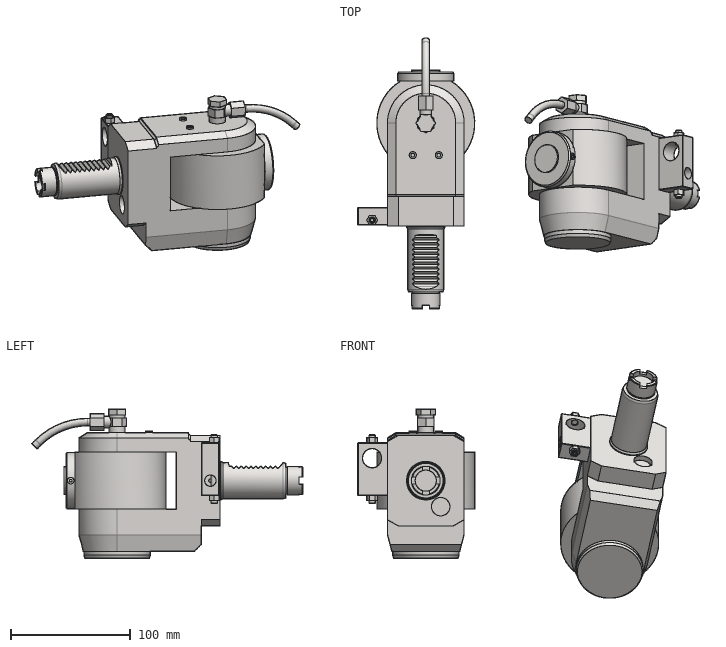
import cadquery as cq
import math


OVERALL_LENGTH = 226.7

HOUSING_WIDTH = 64.1
HOUSING_TOP = 40.1
HOUSING_BOTTOM = -59.2
HOUSING_FRONT = 15.6
TOP_PLATE_FRONT = 26.5
STEP_DROP = 1.0
TURRET_Y = 86.1
TOP_BEVEL_HEIGHT = 4.3
TOP_BEVEL_INSET = 7.0
BOTTOM_TAPER_HEIGHT = 13.8
BOTTOM_TAPER_INSET = 3.6
BOTTOM_FRONT_CHAMFER = 6.0
SLOT_BACK = 36.7

BLOCK_HEIGHT = 75.7
BLOCK_DEPTH = 24.7
BLOCK_BEVEL_WIDTH = 9.0
BLOCK_BEVEL_HEIGHT = 5.2
RECESS_X = 12.5
RECESS_Z = -21.8
RECESS_RADIUS = 7.7
RECESS_DEPTH = 4.5

DRUM_RADIUS = 41.0
DRUM_HEIGHT = 47.5
DRUM_FLAT_Y = 121.3
FLANGE_RADIUS = 23.5
FLANGE_THICKNESS = 7.7
FLANGE_CHAMFER = 1.1
FLANGE_HUB_RADIUS = 11.8
FLANGE_HUB_HEIGHT = 1.5
FLANGE_HOLE_RADIUS = 2.7
FLANGE_HOLE_DEPTH = 2.3
FLANGE_HOLE_INSET = 4.0
FLANGE_PIN_RADIUS = 1.1

RING_RADIUS = 27.9
RING_BOTTOM = -65.0
RING_CHAMFER = 1.0
RING_CHAMFER_HEIGHT = 2.7

SHANK_RADIUS = 15.2
SHANK_END = 55.0
SHANK_CHAMFER = 0.7
SHANK_CHAMFER_LENGTH = 2.3
COLLAR_RADIUS = 16.0
COLLAR_LENGTH = 0.7
COLLAR_CONE_END = 2.5
NECK_RADIUS = 11.3
NECK_LENGTH = 1.1
CROWN_RADIUS = 12.0
CROWN_BORE_RADIUS = 8.8
CROWN_BORE_DEPTH = 5.0
CROWN_CHAMFER = 0.5
CROWN_END = 69.1
CROWN_SLOT_WIDTH = 6.0
CROWN_SLOT_DEPTH = 3.0

SERRATION_TOP = 12.2
SERRATION_ROOT = 10.2
SERRATION_PITCH = 4.0
SERRATION_COUNT = 10
SERRATION_START = 6.8
SERRATION_WALL_SLOPE = 1.0
FIRST_ROOT = 11.5
RAMP_LENGTH = 4.5

BRACKET_END_X = -57.0
BRACKET_TOP = 31.7
BRACKET_BOTTOM = -12.5
BRACKET_FRONT = 1.0
BRACKET_BACK = 15.6
BRACKET_CHAMFER = 0.5
CLAMP_HOLE_RADIUS = 8.0
CLAMP_HOLE_Z = 18.8
SIDE_HOLE_RADIUS = 4.8
SIDE_HOLE_Y = 8.2
SIDE_HOLE_DEPTH = 18.1
PILOT_RADIUS = 1.4
PILOT_DEPTH = 4.5
STUD_X = -44.9
STUD_Y = 5.0
STUD_RADIUS = 2.7
STUD_OVERHANG = 6.8
STUD_RECESS = 1.4
STUD_SOCKET_RADIUS = 1.4
STUD_SOCKET_DEPTH = 1.4
STUD_CHAMFER = 0.7
NUT_CORNERS = 9.0
NUT_HEIGHT = 4.3

STEM_RADIUS = 6.8
FITTING_TOP = 59.8
CAP_CORNERS = 16.3
CAP_HEIGHT = 4.8
BODY_HEX_CORNERS = 16.0
BODY_HEX_HEIGHT = 7.3
OUTLET_Z = 49.0
OUTLET_RADIUS = 5.0
TUBE_NUT_CORNERS = 14.0
TUBE_NUT_START = 97.0
TUBE_NUT_LENGTH = 11.8
TUBE_RADIUS = 3.2
TUBE_BEND_RADIUS = 58.3
TUBE_BEND_ANGLE = 45.0
TUBE_TIP_LENGTH = 4.5

SCREW_X = 10.9
SCREW_Y = 59.5
SCREW_RADIUS = 3.0
SCREW_HEIGHT = 1.4
SCREW_SOCKET_RADIUS = 1.5

HALF_WIDTH = HOUSING_WIDTH / 2
HEX_SIDES = 6
HEX_HALF_STEP = 180 / HEX_SIDES


def along_y(x, z, radius, y_from, y_to):
    """Cylinder parallel to Y between two Y positions."""
    return cq.Workplane("XZ", origin=(x, y_from, z)).circle(radius).extrude(y_from - y_to)


def along_z(x, y, radius, z_from, z_to):
    """Cylinder parallel to Z between two Z positions."""
    return cq.Workplane("XY", origin=(x, y, z_from)).circle(radius).extrude(z_to - z_from)


def along_x(y, z, radius, x_from, x_to):
    """Cylinder parallel to X between two X positions."""
    return cq.Workplane("YZ", origin=(x_from, y, z)).circle(radius).extrude(x_to - x_from)


def box(x_range, y_range, z_range):
    """Axis-aligned box between two positions on each axis."""
    sizes = [high - low for low, high in (x_range, y_range, z_range)]
    corner = (x_range[0], y_range[0], z_range[0])
    return cq.Workplane("XY", origin=corner).box(*sizes, centered=False)


def arch(z):
    """Outline at height z with a straight front at Y = 0 and a half-round back."""
    return (
        cq.Workplane("XY", origin=(0, 0, z))
        .moveTo(-HALF_WIDTH, 0)
        .lineTo(HALF_WIDTH, 0)
        .lineTo(HALF_WIDTH, TURRET_Y)
        .threePointArc((0, TURRET_Y + HALF_WIDTH), (-HALF_WIDTH, TURRET_Y))
        .close()
    )


def make_housing():
    bevel_z = HOUSING_TOP - TOP_BEVEL_HEIGHT
    taper_z = HOUSING_BOTTOM + BOTTOM_TAPER_HEIGHT
    bevel_angle = math.degrees(math.atan2(TOP_BEVEL_INSET, TOP_BEVEL_HEIGHT))
    taper_angle = math.degrees(math.atan2(BOTTOM_TAPER_INSET, BOTTOM_TAPER_HEIGHT))

    housing = arch(taper_z).extrude(bevel_z - taper_z)
    housing = housing.union(arch(bevel_z).extrude(TOP_BEVEL_HEIGHT, taper=bevel_angle))
    housing = housing.union(arch(taper_z).extrude(-BOTTOM_TAPER_HEIGHT, taper=taper_angle))

    far_y = TURRET_Y + HOUSING_WIDTH
    side_profile = (
        cq.Workplane("YZ", origin=(-HALF_WIDTH, 0, 0))
        .moveTo(far_y, HOUSING_TOP)
        .lineTo(TOP_PLATE_FRONT, HOUSING_TOP)
        .lineTo(TOP_PLATE_FRONT, 0)
        .lineTo(HOUSING_FRONT, 0)
        .lineTo(HOUSING_FRONT, HOUSING_BOTTOM + BOTTOM_FRONT_CHAMFER)
        .lineTo(HOUSING_FRONT + BOTTOM_FRONT_CHAMFER, HOUSING_BOTTOM)
        .lineTo(far_y, HOUSING_BOTTOM)
        .close()
        .extrude(HOUSING_WIDTH)
    )
    housing = housing.intersect(side_profile)
    slot = box((-HALF_WIDTH, HALF_WIDTH), (SLOT_BACK, far_y), (-DRUM_HEIGHT / 2, DRUM_HEIGHT / 2))
    return housing.cut(slot)


def make_step_strip():
    """Sloped strip that leads from the end of the top plate down to the mounting block."""
    flat_x = HALF_WIDTH - TOP_BEVEL_INSET

    def section(top):
        shoulder_z = top - TOP_BEVEL_HEIGHT
        return [
            (-HALF_WIDTH, 0),
            (-HALF_WIDTH, shoulder_z),
            (-flat_x, top),
            (flat_x, top),
            (HALF_WIDTH, shoulder_z),
            (HALF_WIDTH, 0),
        ]

    strip_length = TOP_PLATE_FRONT - BLOCK_DEPTH
    return (
        cq.Workplane("XZ", origin=(0, TOP_PLATE_FRONT, 0))
        .polyline(section(HOUSING_TOP - STEP_DROP))
        .close()
        .workplane(offset=strip_length)
        .polyline(section(BLOCK_HEIGHT / 2))
        .close()
        .loft(ruled=True)
    )


def make_block():
    half_height = BLOCK_HEIGHT / 2
    shoulder_z = half_height - BLOCK_BEVEL_HEIGHT
    flat_x = HALF_WIDTH - BLOCK_BEVEL_WIDTH
    outline = [
        (HALF_WIDTH, -shoulder_z),
        (HALF_WIDTH, shoulder_z),
        (flat_x, half_height),
        (-flat_x, half_height),
        (-HALF_WIDTH, shoulder_z),
        (-HALF_WIDTH, -shoulder_z),
        (-flat_x, -half_height),
        (flat_x, -half_height),
    ]
    block = cq.Workplane("XZ").polyline(outline).close().extrude(-BLOCK_DEPTH)
    return block.cut(along_y(RECESS_X, RECESS_Z, RECESS_RADIUS, 0, RECESS_DEPTH))


def make_drum():
    half_height = DRUM_HEIGHT / 2
    drum = along_z(0, TURRET_Y, DRUM_RADIUS, -half_height, half_height)
    beyond_flat = box(
        (-DRUM_RADIUS, DRUM_RADIUS),
        (DRUM_FLAT_Y, DRUM_FLAT_Y + DRUM_RADIUS),
        (-half_height, half_height),
    )
    flange_end = DRUM_FLAT_Y + FLANGE_THICKNESS
    flange = along_y(0, 0, FLANGE_RADIUS, DRUM_FLAT_Y, flange_end)
    flange = flange.faces(">Y").chamfer(FLANGE_CHAMFER)
    hub = along_y(0, 0, FLANGE_HUB_RADIUS, DRUM_FLAT_Y, flange_end + FLANGE_HUB_HEIGHT)

    hole_y = flange_end - FLANGE_HOLE_INSET
    hole_floor = -FLANGE_RADIUS + FLANGE_HOLE_DEPTH
    rim_hole = along_x(hole_y, 0, FLANGE_HOLE_RADIUS, -FLANGE_RADIUS, hole_floor)
    pin = along_x(hole_y, 0, FLANGE_PIN_RADIUS, -FLANGE_RADIUS, hole_floor)
    return drum.cut(beyond_flat).union(flange).union(hub).cut(rim_hole.cut(pin))


def make_bottom_ring():
    ring = along_z(0, TURRET_Y, RING_RADIUS, RING_BOTTOM, HOUSING_BOTTOM)
    return ring.faces("<Z").chamfer(RING_CHAMFER_HEIGHT, RING_CHAMFER)


def make_serration_cut():
    """Space above the toothed flat, as a Y-Z outline extruded across the shank."""
    half_pitch = SERRATION_PITCH / 2
    outline = [(-SERRATION_START, SHANK_RADIUS)]
    outline.append((-SERRATION_START - SERRATION_WALL_SLOPE, SERRATION_TOP))
    for index in range(SERRATION_COUNT):
        root_y = -FIRST_ROOT - index * SERRATION_PITCH
        outline.append((root_y + half_pitch, SERRATION_TOP))
        outline.append((root_y, SERRATION_ROOT))
    last_root = -FIRST_ROOT - (SERRATION_COUNT - 1) * SERRATION_PITCH
    outline.append((last_root - half_pitch, SERRATION_TOP))
    outline.append((last_root - RAMP_LENGTH, SHANK_RADIUS))
    return cq.Workplane("YZ").polyline(outline).close().extrude(SHANK_RADIUS, both=True)


def make_shank():
    profile = [
        (0, 0),
        (COLLAR_RADIUS, 0),
        (COLLAR_RADIUS, -COLLAR_LENGTH),
        (SHANK_RADIUS, -COLLAR_CONE_END),
        (SHANK_RADIUS, -SHANK_END + SHANK_CHAMFER_LENGTH),
        (SHANK_RADIUS - SHANK_CHAMFER, -SHANK_END),
        (NECK_RADIUS, -SHANK_END),
        (NECK_RADIUS, -SHANK_END - NECK_LENGTH),
        (CROWN_RADIUS, -SHANK_END - NECK_LENGTH),
        (CROWN_RADIUS, -CROWN_END + CROWN_CHAMFER),
        (CROWN_RADIUS - CROWN_CHAMFER, -CROWN_END),
        (0, -CROWN_END),
    ]
    shank = cq.Workplane("XY").polyline(profile).close().revolve(360, (0, 0), (0, 1))

    floor_y = -CROWN_END + CROWN_SLOT_DEPTH
    half_slot = CROWN_SLOT_WIDTH / 2
    long_range = (-CROWN_RADIUS, CROWN_RADIUS)
    slot_range = (-half_slot, half_slot)
    bore_floor = -CROWN_END + CROWN_BORE_DEPTH
    shank = shank.cut(along_y(0, 0, CROWN_BORE_RADIUS, -CROWN_END, bore_floor))
    shank = shank.cut(box(long_range, (-CROWN_END, floor_y), slot_range))
    shank = shank.cut(box(slot_range, (-CROWN_END, floor_y), long_range))
    return shank.cut(make_serration_cut())


def make_stud(outer_z, inner_z, face_z):
    """Socketed stud from outer_z to inner_z with a hex nut seated on the bracket face."""
    outward = math.copysign(1, outer_z - face_z)
    outer_face = ">Z" if outward > 0 else "<Z"
    stud = along_z(STUD_X, STUD_Y, STUD_RADIUS, inner_z, outer_z)
    stud = stud.faces(outer_face).chamfer(STUD_CHAMFER)
    nut = (
        cq.Workplane("XY", origin=(STUD_X, STUD_Y, face_z))
        .polygon(HEX_SIDES, NUT_CORNERS)
        .extrude(outward * NUT_HEIGHT)
    )
    socket_floor = outer_z - outward * STUD_SOCKET_DEPTH
    socket = along_z(STUD_X, STUD_Y, STUD_SOCKET_RADIUS, socket_floor, outer_z)
    return stud.union(nut).cut(socket)


def make_bracket():
    bracket = box(
        (BRACKET_END_X, -HALF_WIDTH), (BRACKET_FRONT, BRACKET_BACK), (BRACKET_BOTTOM, BRACKET_TOP)
    )
    bracket = bracket.edges("|X or <X").chamfer(BRACKET_CHAMFER)
    clamp_hole = along_y(STUD_X, CLAMP_HOLE_Z, CLAMP_HOLE_RADIUS, BRACKET_FRONT, BRACKET_BACK)
    side_hole_end = BRACKET_END_X + SIDE_HOLE_DEPTH
    side_hole = along_x(SIDE_HOLE_Y, 0, SIDE_HOLE_RADIUS, BRACKET_END_X, side_hole_end)
    pilot = along_x(SIDE_HOLE_Y, 0, PILOT_RADIUS, side_hole_end, side_hole_end + PILOT_DEPTH)

    upper_end = CLAMP_HOLE_Z + CLAMP_HOLE_RADIUS + STUD_RECESS
    lower_end = CLAMP_HOLE_Z - CLAMP_HOLE_RADIUS - STUD_RECESS
    stud_bore = along_z(STUD_X, STUD_Y, STUD_RADIUS, lower_end, upper_end)
    for hole in (clamp_hole, side_hole, pilot, stud_bore):
        bracket = bracket.cut(hole)
    upper = make_stud(BRACKET_TOP + STUD_OVERHANG, upper_end, BRACKET_TOP)
    lower = make_stud(BRACKET_BOTTOM - STUD_OVERHANG, lower_end, BRACKET_BOTTOM)
    return bracket.union(upper).union(lower)


def make_fitting():
    hex_bottom = OUTLET_Z - BODY_HEX_HEIGHT / 2
    hex_top = hex_bottom + BODY_HEX_HEIGHT
    stem = along_z(0, TURRET_Y, STEM_RADIUS, HOUSING_TOP, hex_bottom)
    collar = along_z(0, TURRET_Y, STEM_RADIUS, hex_top, FITTING_TOP - CAP_HEIGHT)
    cap = (
        cq.Workplane("XY", origin=(0, TURRET_Y, FITTING_TOP))
        .polygon(HEX_SIDES, CAP_CORNERS)
        .extrude(-CAP_HEIGHT)
    )
    body_hex = (
        cq.Workplane("XY", origin=(0, TURRET_Y, hex_bottom))
        .transformed(rotate=(0, 0, HEX_HALF_STEP))
        .polygon(HEX_SIDES, BODY_HEX_CORNERS)
        .extrude(BODY_HEX_HEIGHT)
    )
    outlet = along_y(0, OUTLET_Z, OUTLET_RADIUS, TURRET_Y, TUBE_NUT_START)
    tube_nut = (
        cq.Workplane("XZ", origin=(0, TUBE_NUT_START, OUTLET_Z))
        .transformed(rotate=(0, 0, HEX_HALF_STEP))
        .polygon(HEX_SIDES, TUBE_NUT_CORNERS)
        .extrude(-TUBE_NUT_LENGTH)
    )
    return body_hex.union(stem).union(collar).union(cap).union(outlet).union(tube_nut)


def make_tube():
    tip_angle = math.radians(TUBE_BEND_ANGLE)

    bend_reach = TUBE_BEND_RADIUS * math.sin(tip_angle)
    tip_reach = TUBE_TIP_LENGTH * math.cos(tip_angle) + TUBE_RADIUS * math.sin(tip_angle)
    bend_start = OVERALL_LENGTH - CROWN_END - bend_reach - tip_reach

    def bend_point(angle):
        y = bend_start + TUBE_BEND_RADIUS * math.sin(angle)
        z = OUTLET_Z - TUBE_BEND_RADIUS * (1 - math.cos(angle))
        return y, z

    bend_end = bend_point(tip_angle)
    tip = (
        bend_end[0] + TUBE_TIP_LENGTH * math.cos(tip_angle),
        bend_end[1] - TUBE_TIP_LENGTH * math.sin(tip_angle),
    )
    path = (
        cq.Workplane("YZ")
        .moveTo(TUBE_NUT_START, OUTLET_Z)
        .lineTo(bend_start, OUTLET_Z)
        .threePointArc(bend_point(tip_angle / 2), bend_end)
        .lineTo(*tip)
    )
    section = cq.Workplane("XZ", origin=(0, TUBE_NUT_START, OUTLET_Z)).circle(TUBE_RADIUS)
    return section.sweep(path)


def make_screw(x):
    screw_top = HOUSING_TOP + SCREW_HEIGHT
    screw = along_z(x, SCREW_Y, SCREW_RADIUS, HOUSING_TOP, screw_top)
    return screw.cut(along_z(x, SCREW_Y, SCREW_SOCKET_RADIUS, HOUSING_TOP, screw_top))


result = (
    make_housing()
    .union(make_step_strip())
    .union(make_block())
    .union(make_drum())
    .union(make_bottom_ring())
    .union(make_shank())
    .union(make_bracket())
    .union(make_fitting())
    .union(make_tube())
)
for screw_x in (-SCREW_X, SCREW_X):
    result = result.union(make_screw(screw_x))